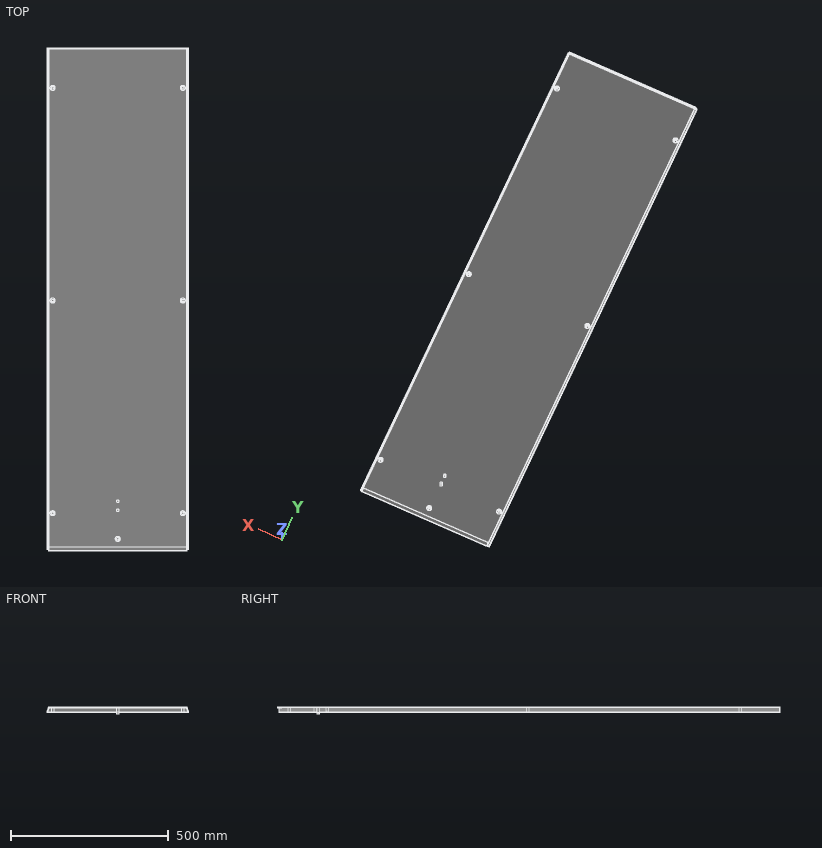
import cadquery as cq
import math

LENGTH = 1596.0
WIDTH = 450.0
OVERALL_HEIGHT = 22.0
STUD_PROTRUSION = 5.6
PANEL_HEIGHT = OVERALL_HEIGHT - STUD_PROTRUSION
SHEET = 1.9

WALL_LEAN = 18.0
WALL_SETBACK = 5.0
HEM_DEPTH = 13.0

SCREW_SPACING_X = 413.0
SCREW_PITCH_Y = 675.0
FIRST_SCREW_Y = -678.0
FRONT_SCREW_Y = -760.0
HEAD_DIAMETER = 16.0
SHANK_DIAMETER = 8.0
SHANK_LENGTH = 16.0
SOCKET_DIAMETER = 8.0
SOCKET_DEPTH = SHEET / 2

STUD_DIAMETER = 8.0
LONG_STUD_Y = -669.0
SHORT_STUD_Y = -640.0
SHORT_STUD_LENGTH = 11.0

FRONT_Y = -LENGTH / 2
SHEET_UNDERSIDE = PANEL_HEIGHT - SHEET
LEAN_SLOPE = math.tan(math.radians(WALL_LEAN))
TOP_WIDTH = WIDTH - 2 * PANEL_HEIGHT * LEAN_SLOPE
WALL_THICKNESS_X = SHEET / math.cos(math.radians(WALL_LEAN))

SCREW_POINTS = [
    (side * SCREW_SPACING_X / 2, FIRST_SCREW_Y + row * SCREW_PITCH_Y)
    for side in (-1, 1)
    for row in range(3)
]
SCREW_POINTS.append((0, FRONT_SCREW_Y))


def flared_block(bottom_width, height, back_y):
    """Block with a flared trapezoidal section, running from back_y to the front edge."""
    half_bottom = bottom_width / 2
    half_top = half_bottom - height * LEAN_SLOPE
    return (
        cq.Workplane("XZ", origin=(0, back_y, 0))
        .polyline([(-half_bottom, 0), (half_bottom, 0), (half_top, height), (-half_top, height)])
        .close()
        .extrude(back_y - FRONT_Y)
    )


def cylinder(x, y, diameter, bottom_z, top_z):
    """Upright cylinder between two heights."""
    return cq.Workplane("XY", origin=(x, y, bottom_z)).circle(diameter / 2).extrude(top_z - bottom_z)


def folded_sheet():
    """Top sheet with two flared side walls, a back wall and an open front."""
    outside = flared_block(WIDTH, PANEL_HEIGHT, LENGTH / 2)
    inside = flared_block(WIDTH - 2 * WALL_THICKNESS_X, SHEET_UNDERSIDE, LENGTH / 2 - SHEET)
    setback = (
        cq.Workplane("XY", origin=(0, FRONT_Y, 0))
        .box(WIDTH, WALL_SETBACK, SHEET_UNDERSIDE, centered=(True, False, False))
    )
    return outside.cut(inside).cut(setback)


def front_hem():
    """Front edge folded back flat under the top sheet, between the side walls."""
    hem_width = TOP_WIDTH - 2 * WALL_THICKNESS_X
    return (
        cq.Workplane("XY", origin=(0, FRONT_Y, SHEET_UNDERSIDE - SHEET))
        .box(hem_width, HEM_DEPTH, SHEET, centered=(True, False, False))
    )


def make_panel():
    """Sheet-metal panel with its hem, studs and stepped screw holes."""
    panel = folded_sheet().union(front_hem())
    long_stud = cylinder(0, LONG_STUD_Y, STUD_DIAMETER, -STUD_PROTRUSION, SHEET_UNDERSIDE)
    short_stud_tip = SHEET_UNDERSIDE - SHORT_STUD_LENGTH
    short_stud = cylinder(0, SHORT_STUD_Y, STUD_DIAMETER, short_stud_tip, SHEET_UNDERSIDE)
    panel = panel.union(long_stud).union(short_stud)
    for x, y in SCREW_POINTS:
        panel = panel.cut(cylinder(x, y, HEAD_DIAMETER, SHEET_UNDERSIDE, PANEL_HEIGHT))
    return panel


def make_screw(x, y):
    """Screw with a flat head flush with the top face, a round socket and a plain shank."""
    head = cylinder(x, y, HEAD_DIAMETER, SHEET_UNDERSIDE, PANEL_HEIGHT)
    shank = cylinder(x, y, SHANK_DIAMETER, PANEL_HEIGHT - SHANK_LENGTH, SHEET_UNDERSIDE)
    socket = cylinder(x, y, SOCKET_DIAMETER, PANEL_HEIGHT - SOCKET_DEPTH, PANEL_HEIGHT)
    return head.union(shank).cut(socket)


panel = make_panel()
screws = [make_screw(x, y) for x, y in SCREW_POINTS]
result = cq.Compound.makeCompound([panel.val(), *[screw.val() for screw in screws]])